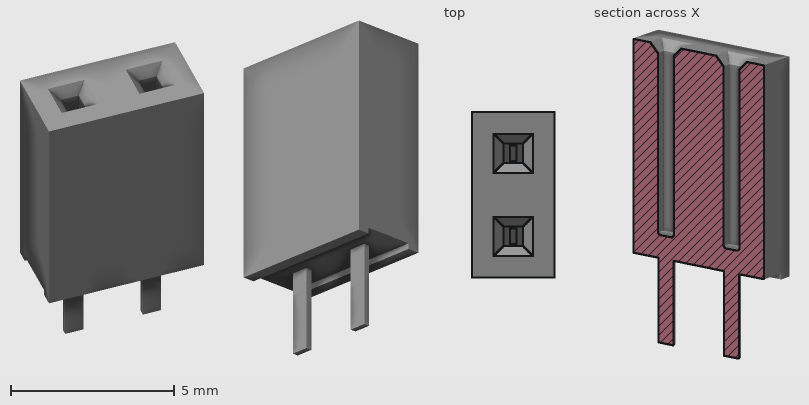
import cadquery as cq


pitch = 2.55
way_count = 2
housing_width = 2.54
housing_length = 5.08
overall_height = 9.5
pin_projection = 2.5
housing_height = overall_height - pin_projection

foot_width = 0.42
channel_depth = 0.19
channel_width = housing_width - 2 * foot_width

funnel_mouth = 1.2
shaft_side = 0.6
funnel_depth = (funnel_mouth - shaft_side) / 2
shaft_depth = 6.0

pin_thickness = 0.2
pin_width = shaft_side

recess_depth = 0.06
recess_floor_length = pin_width - 2 * recess_depth

housing_bottom = pin_projection
housing_top = overall_height
shaft_floor = housing_top - shaft_depth
way_positions = [(i - (way_count - 1) / 2) * pitch for i in range(way_count)]


def make_housing():
    bottom = cq.Workplane("XY", origin=(0, 0, housing_bottom))
    body = bottom.rect(housing_width, housing_length).extrude(housing_height)
    channel = bottom.rect(channel_width, housing_length).extrude(channel_depth)
    return body.cut(channel)


def make_pin(y):
    return (
        cq.Workplane("XY", origin=(0, y, 0))
        .rect(pin_thickness, pin_width)
        .extrude(shaft_floor)
    )


def make_socket(y):
    top = cq.Workplane("XY", origin=(0, y, housing_top))
    shaft = top.rect(shaft_side, shaft_side).extrude(-shaft_depth)
    funnel = (
        top.rect(funnel_mouth, funnel_mouth)
        .workplane(offset=-funnel_depth)
        .rect(shaft_side, shaft_side)
        .loft(ruled=True)
    )
    recess = (
        cq.Workplane("XY", origin=(0, y, shaft_floor))
        .rect(pin_thickness, pin_width)
        .workplane(offset=-recess_depth)
        .rect(pin_thickness, recess_floor_length)
        .loft(ruled=True)
    )
    return shaft.union(funnel).union(recess)


result = make_housing()
for way_y in way_positions:
    result = result.union(make_pin(way_y)).cut(make_socket(way_y))